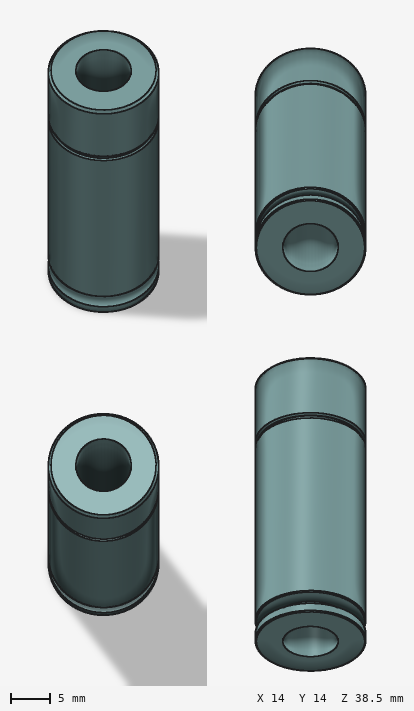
import cadquery as cq

outer_diameter = 14.0
groove_diameter = 13.2
neck_diameter = 9.4
bore_diameter = 7.0

total_height = 38.5
flange_height = 1.2
neck_height = 1.8
groove_height = 0.6
collar_height = 8.7
body_height = total_height - flange_height - neck_height - groove_height - collar_height

flange_chamfer = 0.15
body_chamfer = 0.15
collar_lower_chamfer_height = 0.2
collar_lower_chamfer_depth = 0.3
collar_top_chamfer = 0.35

neck_base = flange_height
body_base = neck_base + neck_height
groove_base = body_base + body_height
collar_base = groove_base + groove_height


def cylinder(diameter, base_z, height):
    """Cylinder on the Z axis standing on the plane at base_z."""
    return cq.Workplane("XY").workplane(offset=base_z).circle(diameter / 2).extrude(height)


def chamfered_cylinder(base_z, height, chamfer_height, chamfer_depth):
    """Section of full outer diameter, its lower rim chamfered by an axial height and a radial depth."""
    section = cylinder(outer_diameter, base_z, height)
    return section.faces("<Z").edges().chamfer(chamfer_height, chamfer_depth)


flange = chamfered_cylinder(0, flange_height, flange_chamfer, flange_chamfer)
neck = cylinder(neck_diameter, neck_base, neck_height)

body = chamfered_cylinder(body_base, body_height, body_chamfer, body_chamfer)
groove_floor = cylinder(groove_diameter, groove_base, groove_height)
collar = chamfered_cylinder(
    collar_base, collar_height, collar_lower_chamfer_height, collar_lower_chamfer_depth
)
collar = collar.faces(">Z").edges().chamfer(collar_top_chamfer)

bore = cylinder(bore_diameter, 0, total_height)

result = flange.union(neck).union(body).union(groove_floor).union(collar).cut(bore)